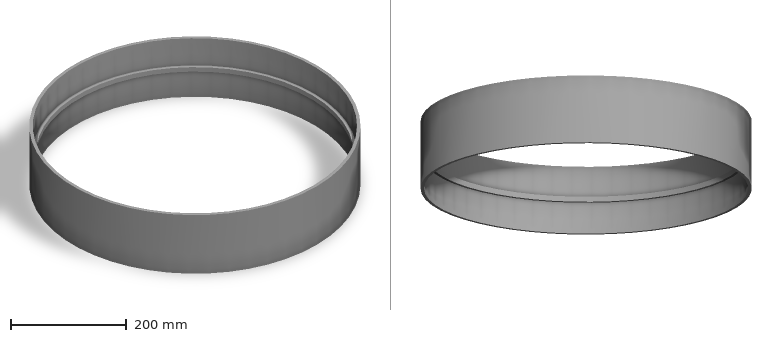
import cadquery as cq

outer_diameter = 572.0
bore_diameter = 560.0
rib_inner_diameter = 548.0
height = 120.0
rib_thickness = 9.0


def ring(outside, inside, thickness, base_height):
    """Flat ring around the Z axis, standing on the given height."""
    return (
        cq.Workplane("XY")
        .workplane(offset=base_height)
        .circle(outside / 2)
        .circle(inside / 2)
        .extrude(thickness)
    )


wall = ring(outer_diameter, bore_diameter, height, 0)

rib_base = (height - rib_thickness) / 2
rib = ring(outer_diameter, rib_inner_diameter, rib_thickness, rib_base)

result = wall.union(rib, clean=True)